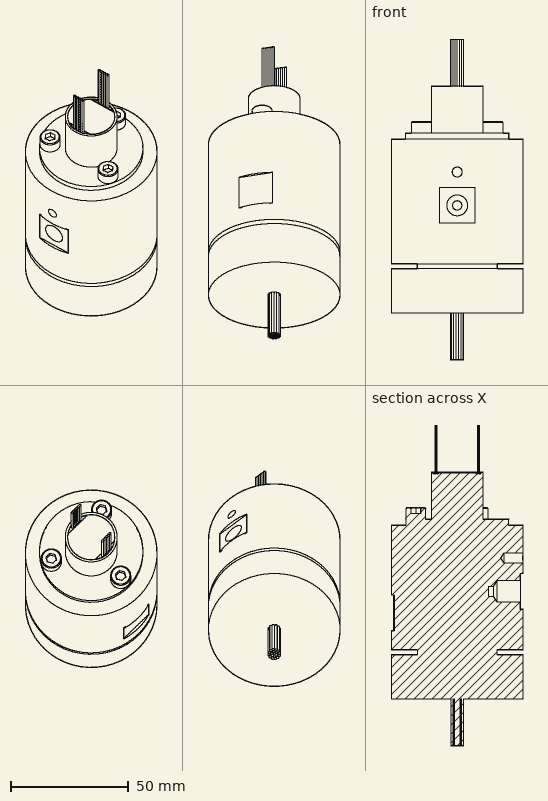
import cadquery as cq
import math

body_dia = 56.0
base_height = 18.9
neck_dia = 34.0
neck_height = 2.0
body_height = 53.0
flange_dia = 44.0
flange_height = 2.5
tube_dia = 22.0
tube_height = 20.0

body_bottom = base_height + neck_height
body_top = body_bottom + body_height
flange_top = body_top + flange_height
tube_top = flange_top + tube_height

bore_dia = 20.0
plug_recess = 0.3
plug_across_flats = 16.2
wire_gap_depth = 0.7

wire_length = 19.9
row_wire_dia = 1.0
row_pitch = 0.91
wires_per_row = 6
row_offset = 9.0
bundle_wire_dia = 1.15
bundle_pitch = 1.1
bundle_rings = 2
wires_in_first_ring = 6

screw_count = 3
screw_circle_radius = 17.6
first_screw_angle = 90
head_dia = 8.6
head_height = 4.9
head_chamfer = 0.4
socket_sides = 6
socket_across_flats = 4.0
socket_depth = 2.5

pocket_size = 15.0
pocket_depth = 1.2
front_pocket_height = 45.8
back_pocket_height = 36.6
pocket_floor = body_dia / 2 - pocket_depth

port_dia = 8.9
port_depth = 10.0
port_bore_dia = 4.0
port_bore_depth = 2.0
small_hole_dia = 4.2
small_hole_depth = 8.2
small_hole_height = 59.9
drill_point_angle = 118


def disc(diameter, bottom, height):
    return cq.Workplane("XY").workplane(offset=bottom).circle(diameter / 2).extrude(height)


def cone_height(large_dia, small_dia):
    """Length of a drill point between two diameters."""
    return (large_dia - small_dia) / 2 / math.tan(math.radians(drill_point_angle / 2))


def housing():
    solid = disc(body_dia, 0, base_height)
    solid = solid.union(disc(neck_dia, base_height, neck_height))
    solid = solid.union(disc(body_dia, body_bottom, body_height))
    solid = solid.union(disc(flange_dia, body_top, flange_height))
    return solid.union(disc(tube_dia, flange_top, tube_height))


def tube_mouth_cut():
    """Shallow bore, deeper outside the two flats of the plug."""
    plug = disc(bore_dia, tube_top - wire_gap_depth, wire_gap_depth - plug_recess)
    flats = cq.Workplane("XY").box(bore_dia, plug_across_flats, 2 * tube_top)
    bore = disc(bore_dia, tube_top - wire_gap_depth, wire_gap_depth)
    return bore.cut(plug.intersect(flats))


def wire_rows():
    """Two straight rows of wires, rooted in the floor of the gaps beside the plug."""
    bottom = tube_top - wire_gap_depth - row_wire_dia
    length = wire_length + wire_gap_depth + row_wire_dia
    wire = disc(row_wire_dia, bottom, length)
    rows = cq.Workplane("XY")
    for side in (-1, 1):
        for i in range(wires_per_row):
            x = (i - (wires_per_row - 1) / 2) * row_pitch
            rows = rows.union(wire.translate((x, side * row_offset, 0)))
    return rows


def wire_bundle():
    """Round bundle below the base: a core wire with rings of 6 and 12 wires."""
    length = wire_length + bundle_wire_dia
    wire = disc(bundle_wire_dia, -wire_length, length)
    bundle = wire
    for ring in range(1, bundle_rings + 1):
        wire_count = wires_in_first_ring * ring
        for i in range(wire_count):
            angle = 2 * math.pi * i / wire_count
            x = ring * bundle_pitch * math.cos(angle)
            y = ring * bundle_pitch * math.sin(angle)
            bundle = bundle.union(wire.translate((x, y, 0)))
    return bundle


def screw_heads():
    head = disc(head_dia, flange_top, head_height).faces(">Z").edges().chamfer(head_chamfer)
    socket_corner_dia = socket_across_flats / math.cos(math.pi / socket_sides)
    head = head.faces(">Z").workplane().polygon(socket_sides, socket_corner_dia).cutBlind(-socket_depth)
    heads = cq.Workplane("XY")
    for i in range(screw_count):
        angle = math.radians(first_screw_angle + i * 360 / screw_count)
        x = screw_circle_radius * math.cos(angle)
        y = screw_circle_radius * math.sin(angle)
        heads = heads.union(head.translate((x, y, 0)))
    return heads


def pocket_cut(side, height):
    """Square spot face; side is -1 for the front and 1 for the back."""
    block = cq.Workplane("XY").box(pocket_size, 2 * pocket_depth, pocket_size)
    return block.translate((0, side * body_dia / 2, height))


def front_hole(profile, height):
    """Hole running in from the front, revolved from (radius, y) points."""
    return (
        cq.Workplane("XY")
        .polyline(profile)
        .close()
        .revolve(360, (0, 0, 0), (0, 1, 0))
        .translate((0, 0, height))
    )


def port_cut():
    shoulder = -pocket_floor + port_depth
    cone_end = shoulder + cone_height(port_dia, port_bore_dia)
    bore_end = cone_end + port_bore_depth
    profile = [
        (0, -body_dia / 2),
        (port_dia / 2, -body_dia / 2),
        (port_dia / 2, shoulder),
        (port_bore_dia / 2, cone_end),
        (port_bore_dia / 2, bore_end),
        (0, bore_end),
    ]
    return front_hole(profile, front_pocket_height)


def small_hole_cut():
    shoulder = -body_dia / 2 + small_hole_depth
    profile = [
        (0, -body_dia / 2),
        (small_hole_dia / 2, -body_dia / 2),
        (small_hole_dia / 2, shoulder),
        (0, shoulder + cone_height(small_hole_dia, 0)),
    ]
    return front_hole(profile, small_hole_height)


result = (
    housing()
    .cut(tube_mouth_cut())
    .union(wire_rows())
    .union(wire_bundle())
    .union(screw_heads())
    .cut(pocket_cut(-1, front_pocket_height))
    .cut(pocket_cut(1, back_pocket_height))
    .cut(port_cut())
    .cut(small_hole_cut())
)